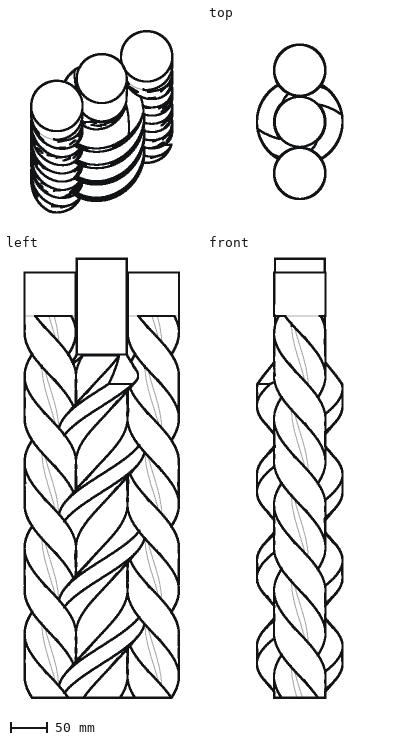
import cadquery as cq
import math


overall_length = 596.5
set_width = 210.0
rotor_thread_length = 466.5
idler_thread_length = 519.0
idler_journal_length = 59.0
shaft_diameter = 68.0
nose_cone_length = 40.0
lobe_angle = 90.0
starts = 2
flank_samples = 9
ring_overrun = 6.0
backlash_angle = 0.2

pitch_radius = set_width / 6
tip_radius = pitch_radius * 5 / 3
centre_distance = 2 * pitch_radius
lead = 4 * tip_radius
shaft_radius = shaft_diameter / 2


def flank_curve(arm, end_radius):
    """Epicycloid-type flank as (radius, angle) pairs, from its apex on angle 0 to end_radius."""
    cos_end = (centre_distance**2 + arm**2 - end_radius**2) / (2 * centre_distance * arm)
    end_roll = math.acos(cos_end)
    curve = []
    for i in range(flank_samples):
        roll = end_roll * i / (flank_samples - 1)
        x = centre_distance * math.cos(roll) - arm * math.cos(2 * roll)
        y = centre_distance * math.sin(roll) - arm * math.sin(2 * roll)
        curve.append((math.hypot(x, y), math.degrees(math.atan2(y, x))))
    return curve


def polar(radius, angle):
    return (radius * math.cos(math.radians(angle)), radius * math.sin(math.radians(angle)))


def screw_outline(flank):
    """Closed two-start section centred on the Y axis.

    The flank runs from the pitch circle to the lobe tip or groove floor, its angles
    measured from the middle of that lobe or groove.
    """
    pitch_circle = flank[0][0]
    end_radius = flank[-1][0]
    spacing = 360 / starts
    first = 90
    outline = cq.Workplane("XY").moveTo(*polar(pitch_circle, first + flank[0][1]))
    for start in range(starts):
        middle = first + start * spacing
        leading = [polar(r, middle + a) for r, a in flank[1:]]
        trailing = [polar(r, middle - a) for r, a in reversed(flank[:-1])]
        land_end = polar(end_radius, middle - flank[-1][1])
        next_flank = polar(pitch_circle, middle + spacing + flank[0][1])
        outline = (
            outline.spline(leading, includeCurrent=True)
            .threePointArc(polar(end_radius, middle), land_end)
            .spline(trailing, includeCurrent=True)
            .threePointArc(polar(pitch_circle, middle + spacing / 2), next_flank)
        )
    return outline.close()


def make_rotor():
    flank = [(r, a - lobe_angle / 2) for r, a in flank_curve(pitch_radius, tip_radius)]
    turns = rotor_thread_length / lead
    thread = screw_outline(flank).twistExtrude(rotor_thread_length, 360 * turns)

    slope = (tip_radius - shaft_radius) / nose_cone_length
    cone_base = rotor_thread_length - nose_cone_length
    ring_outer_radius = tip_radius + slope * ring_overrun
    nose_ring = (
        cq.Workplane("XZ")
        .polyline([
            (ring_outer_radius, cone_base - ring_overrun),
            (shaft_radius - slope * ring_overrun, rotor_thread_length + ring_overrun),
            (ring_outer_radius, rotor_thread_length + ring_overrun),
        ])
        .close()
        .revolve(360, (0, 0), (0, 1))
    )
    shaft = (
        cq.Workplane("XY")
        .workplane(offset=rotor_thread_length)
        .circle(shaft_radius)
        .extrude(overall_length - rotor_thread_length)
    )
    return thread.cut(nose_ring).union(shaft)


def make_idler(y_position):
    path = flank_curve(tip_radius, pitch_radius)
    land_start = path[-1][1] + (lobe_angle + backlash_angle) / 2
    flank = [(r, a - land_start) for r, a in reversed(path)]
    turns = idler_thread_length / lead
    thread = screw_outline(flank).twistExtrude(idler_thread_length, -360 * turns)
    journal = (
        cq.Workplane("XY")
        .workplane(offset=idler_thread_length)
        .circle(pitch_radius)
        .extrude(idler_journal_length)
    )
    return thread.union(journal).translate((0, y_position, 0))


rotor = make_rotor()
idlers = [make_idler(side * centre_distance) for side in (-1, 1)]

result = cq.Compound.makeCompound([rotor.solids().val(), *[idler.solids().val() for idler in idlers]])